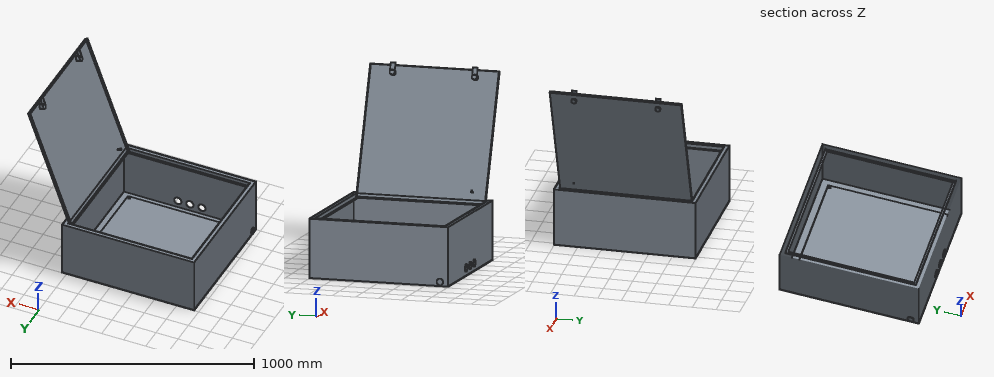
import cadquery as cq
box_side = 600.0
box_height = 250.0
sheet = 1.5

recess_side = 560.0
mouth_side = 542.0
recess_depth = 17.0

cable_hole_diameter = 32.5
cable_hole_spacing = 55.0
cable_hole_count = 3
cable_hole_height = 33.0

plate_side = 530.0
plate_thickness = 11.5

stud_diameter = 9.0
stud_inset = 10.0
stud_protrusion = 5.0

badge_diameter = 28.0
badge_thickness = 3.0
badge_wall_distance = 35.5
badge_height = 18.5

door_width = 557.0
door_length = 557.0
door_depth = 11.0
door_lean = 20
door_sunk_length = 17.0

lock_spacing = 355.0
lock_diameter = 21.5
lock_head_height = 5.5
lock_free_edge_distance = 32.0
hub_reach = 18.5
cam_width = 21.0
cam_thickness = 2.0
cam_reach = 19.0
cam_overhang = 8.5
cam_start = 8.0
cam_taper_length = 8.0
cam_tip_thickness = 1.5

hook_offset = -217.5
hook_width = 5.0
hook_distance = 47.0
hook_reach = 19.0
hook_tip_length = 7.0
hook_thickness = 3.0

middle = box_side / 2
ledge_z = box_height - recess_depth
plate_top_z = sheet + plate_thickness
hinge_x = middle + recess_side / 2
lock_z = door_length - lock_free_edge_distance
lock_places = [-lock_spacing / 2, lock_spacing / 2]


def centred_block(size_x, size_y, bottom, top):
    """Block centred on the box in plan."""
    block = cq.Workplane("XY").box(size_x, size_y, top - bottom, centered=(True, True, False))
    return block.translate((middle, middle, bottom))


def place_on_door(body):
    """Move a body from the flat door frame to the open door.

    In the flat frame X points outward from the door's outer face, Y is measured
    from the middle of the door and Z runs up from the hinge edge.
    """
    standing = body.translate((0, 0, -door_sunk_length))
    leaning = standing.rotate((0, 0, 0), (0, 1, 0), door_lean)
    return leaning.translate((hinge_x, middle, box_height))


def make_housing():
    shell = cq.Workplane("XY").box(box_side, box_side, box_height, centered=False)
    inner_bottom_z = ledge_z - sheet
    cavity = (
        cq.Workplane("XY", origin=(sheet, sheet, sheet))
        .box(box_side - 2 * sheet, box_side - 2 * sheet, box_height - 2 * sheet, centered=False)
    )
    rim_block_side = recess_side + 2 * sheet
    rim_block = centred_block(rim_block_side, rim_block_side, inner_bottom_z, box_height)
    recess = centred_block(recess_side, recess_side, ledge_z, box_height)
    mouth = centred_block(mouth_side, mouth_side, inner_bottom_z, box_height)
    housing = shell.cut(cavity).union(rim_block).cut(recess).cut(mouth)
    return housing.cut(make_cable_holes()).union(make_studs())


def make_studs():
    stud_pitch = plate_side - 2 * stud_inset
    return (
        cq.Workplane("XY", origin=(middle, middle, sheet))
        .rect(stud_pitch, stud_pitch, forConstruction=True)
        .vertices()
        .circle(stud_diameter / 2)
        .extrude(plate_thickness + stud_protrusion)
    )


def make_cable_holes():
    first_x = middle - cable_hole_spacing * (cable_hole_count - 1) / 2
    centres = [(first_x + i * cable_hole_spacing, cable_hole_height) for i in range(cable_hole_count)]
    return (
        cq.Workplane("XZ")
        .pushPoints(centres)
        .circle(cable_hole_diameter / 2)
        .extrude(-2 * sheet)
    )


def make_mounting_plate():
    plate = centred_block(plate_side, plate_side, sheet, plate_top_z)
    return plate.cut(make_studs())


def make_badge():
    return (
        cq.Workplane("YZ")
        .center(badge_wall_distance, badge_height)
        .circle(badge_diameter / 2)
        .extrude(-badge_thickness)
    )


def make_lock_bore(lock_y):
    return (
        cq.Workplane("YZ")
        .center(lock_y, lock_z)
        .circle(lock_diameter / 2)
        .extrude(-sheet)
    )


def make_door():
    pan = cq.Workplane("XY").box(door_depth, door_width, door_length, centered=(False, True, False))
    pan = pan.translate((-door_depth, 0, 0))
    pan = pan.faces("<X").shell(-sheet)
    for lock_y in lock_places:
        pan = pan.cut(make_lock_bore(lock_y))
    return place_on_door(pan)


def make_lock(lock_y):
    barrel = (
        cq.Workplane("YZ", origin=(-hub_reach, lock_y, lock_z))
        .circle(lock_diameter / 2)
        .extrude(hub_reach + lock_head_height)
    )
    cam_bottom = lock_z + cam_start
    cam_top = door_length + cam_overhang
    cam_back = -cam_reach + cam_thickness
    cam = (
        cq.Workplane("XZ", origin=(0, lock_y, 0))
        .polyline([
            (cam_back, cam_bottom),
            (-cam_reach, cam_bottom),
            (-cam_reach, cam_top - cam_taper_length),
            (cam_back - cam_tip_thickness, cam_top),
            (cam_back, cam_top),
        ])
        .close()
        .extrude(cam_width / 2, both=True)
    )
    return place_on_door(barrel.union(cam))


def make_hook():
    hook = (
        cq.Workplane("XZ", origin=(0, hook_offset, hook_distance))
        .moveTo(-sheet, 0)
        .lineTo(-hook_reach, 0)
        .lineTo(-hook_reach, hook_tip_length)
        .lineTo(-hook_reach + hook_thickness, hook_tip_length)
        .lineTo(-hook_reach + hook_thickness, hook_thickness)
        .lineTo(-sheet, hook_thickness)
        .close()
        .extrude(hook_width / 2, both=True)
    )
    return place_on_door(hook)


housing = make_housing()
mounting_plate = make_mounting_plate()
badge = make_badge()
door = make_door()
locks = [make_lock(lock_y) for lock_y in lock_places]
hook = make_hook()

result = cq.Compound.makeCompound([
    housing.val(),
    mounting_plate.val(),
    badge.val(),
    door.val(),
    *[lock.val() for lock in locks],
    hook.val(),
])